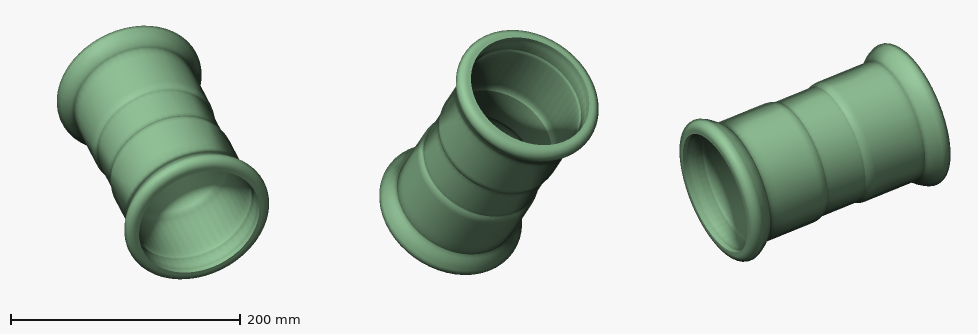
import cadquery as cq

length = 203.0

sleeve_radius = 112.5 / 2
waist_radius = 108.0 / 2
bead_crest_radius = 132.5 / 2
bead_round = 7.5
bead_round_end_radius = 65.8
face_radius = bead_crest_radius - bead_round

mouth_radius = 110.6 / 2
seal_recess_radius = 112.9 / 2
sleeve_bore_radius = 108.8 / 2
waist_bore_radius = 104.0 / 2

bead_round_end = 10.0
bead_end = 23.1
lip_depth = 4.3
seal_recess_end = 12.8
mouth_end = 20.0
sleeve_bore_start = 23.5
shoulder_start = 74.7
shoulder_end = 82.5


def arc_into_cylinder(profile, start, end):
    """Add an arc from start to end that is tangent to the X axis direction at its end."""
    run = end[0] - start[0]
    drop = start[1] - end[1]
    radius = (run**2 + drop**2) / (2 * drop)
    return profile.radiusArc(end, -radius)


def revolve_closed_to_axis(profile):
    """Close a radius profile down to the axis at mid length and spin it about X."""
    closed = profile.lineTo(length / 2, 0).close()
    return closed.revolve(360, (0, 0, 0), (1, 0, 0))


def outer_body():
    """Solid shape of the outside from the end face at x = 0 to mid length."""
    profile = (
        cq.Workplane("XY")
        .lineTo(0, face_radius)
        .threePointArc((bead_round, bead_crest_radius), (bead_round_end, bead_round_end_radius))
        .tangentArcPoint((bead_end, sleeve_radius), relative=False)
        .lineTo(shoulder_start, sleeve_radius)
        .tangentArcPoint((shoulder_end, waist_radius), relative=False)
        .lineTo(length / 2, waist_radius)
    )
    return revolve_closed_to_axis(profile)


def bore():
    """Hollow from the end face to mid length, with a shallow seal recess behind the lip."""
    recess_start = (lip_depth, seal_recess_radius)
    recess_end = (seal_recess_end, mouth_radius)
    profile = (
        cq.Workplane("XY")
        .lineTo(0, mouth_radius)
        .lineTo(lip_depth, mouth_radius)
        .lineTo(*recess_start)
    )
    profile = arc_into_cylinder(profile, recess_start, recess_end)
    profile = profile.lineTo(mouth_end, mouth_radius)
    profile = arc_into_cylinder(
        profile, (mouth_end, mouth_radius), (sleeve_bore_start, sleeve_bore_radius)
    )
    profile = (
        profile.lineTo(shoulder_start, sleeve_bore_radius)
        .tangentArcPoint((shoulder_end, waist_bore_radius), relative=False)
        .lineTo(length / 2, waist_bore_radius)
    )
    return revolve_closed_to_axis(profile)


left_half = outer_body().cut(bore()).translate((-length / 2, 0, 0))
result = left_half.union(left_half.mirror("YZ"))